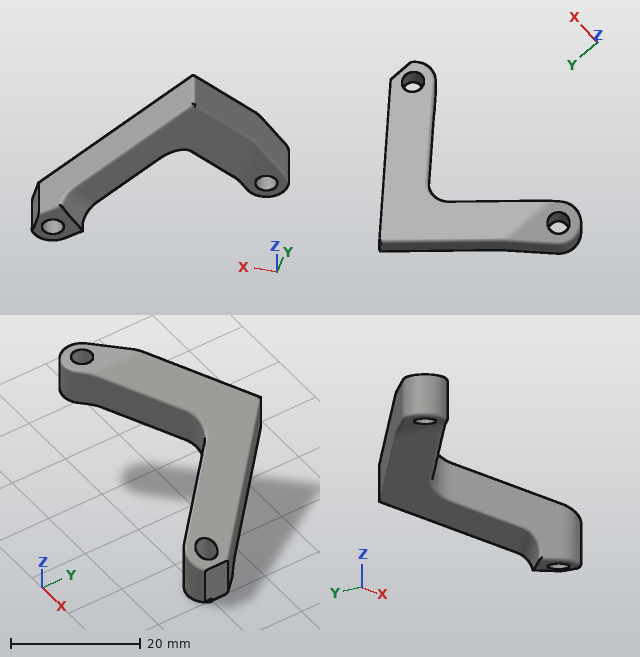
import cadquery as cq
import math

end_radius = 3.52
hole_radius = 1.7
hole_spacing = 34.0
left_hole = (end_radius, end_radius)
right_hole = (end_radius + hole_spacing, end_radius)
inner_corner_radius = 3.45
apex_radius = 0.5

total_height = 23.0
tab_height = 6.72
slope = math.radians(26)
top_bend_x = 7.2
bottom_bend_x = 7.57
bend_radius = 3.65
foot_corner = (32.55, 3.5)
foot_arc_radius = 3.65
foot_end_x = 40.35

edge_radius = 0.5
lip_height = 0.45
lip_drop = 0.97
lip_top_y = right_hole[1] - lip_drop
lip_end_x = 40.5
margin = 4.05
tolerance = 0.0005


def make_plan(apex_round):
    """V outline with round ends, extruded through the full height."""
    mid_x = (left_hole[0] + right_hole[0]) / 2
    mid_y = end_radius + hole_spacing / 2
    flank = end_radius / math.sqrt(2)
    rise = end_radius * math.sqrt(2)
    plan = (
        cq.Workplane("XY")
        .moveTo(left_hole[0] - flank, left_hole[1] + flank)
        .lineTo(mid_x, mid_y + rise)
        .lineTo(right_hole[0] + flank, right_hole[1] + flank)
        .threePointArc(
            (right_hole[0] + flank, right_hole[1] - flank),
            (right_hole[0] - flank, right_hole[1] - flank),
        )
        .lineTo(mid_x, mid_y - rise)
        .lineTo(left_hole[0] + flank, left_hole[1] - flank)
        .threePointArc(
            (left_hole[0] - flank, left_hole[1] - flank),
            (left_hole[0] - flank, left_hole[1] + flank),
        )
        .close()
        .extrude(total_height)
    )

    def corner(y):
        return cq.selectors.NearestToPointSelector((mid_x, y, total_height / 2))

    plan = plan.edges(corner(mid_y - rise)).fillet(inner_corner_radius)
    if apex_round:
        plan = plan.edges(corner(mid_y + rise)).fillet(apex_radius)
    return plan


def box_between(low, high):
    """Axis-aligned box given by two opposite corners."""
    sizes = [b - a for a, b in zip(low, high)]
    return cq.Workplane("XY").box(*sizes, centered=False).translate(low)


def foot_side():
    """Space beyond the foot wall, a vertical plane square to the right leg."""
    reach = 2 * total_height
    block = box_between((0, -reach, -reach), (reach, reach, reach))
    return block.rotate((0, 0, 0), (0, 0, 1), -45).translate((*foot_corner, 0))


def side_prism(points):
    """Side outline extruded along Y beyond the plan."""
    depth = total_height + 3 * margin
    outline = cq.Workplane("XZ", origin=(0, -margin, 0)).polyline(points).close()
    return outline.extrude(-depth)


def make_profile():
    """Body between the upper surface and the hollow under the arm."""
    far_x = lip_end_x + margin
    tab_bottom = total_height - tab_height
    far_top = total_height - (far_x - top_bend_x) * math.tan(slope)
    far_bottom = tab_bottom - (far_x - bottom_bend_x) * math.tan(slope)
    wall_top = tab_bottom - (foot_corner[0] - bottom_bend_x) * math.tan(slope)

    upper = side_prism(
        [
            (-margin, total_height),
            (top_bend_x, total_height),
            (far_x, far_top),
            (far_x, 0),
            (-margin, 0),
        ]
    )
    hollow = side_prism(
        [
            (-margin, tab_bottom),
            (bottom_bend_x, tab_bottom),
            (far_x, far_bottom),
            (far_x, -total_height),
            (-margin, -total_height),
        ]
    ).cut(foot_side())

    def near(x, y, z):
        return cq.selectors.NearestToPointSelector((x, y, z))

    middle_y = (total_height + margin) / 2
    upper = upper.edges(near(top_bend_x, middle_y, total_height)).fillet(bend_radius)
    hollow = hollow.edges(near(bottom_bend_x, middle_y, tab_bottom)).fillet(bend_radius)
    hollow = hollow.edges(near(*foot_corner, wall_top)).fillet(foot_arc_radius)
    return upper.cut(hollow)


def is_rim(edge, walls):
    """True for edges on the plan walls that border the side profile."""
    middle = edge.positionAt(0.5)
    box = edge.BoundingBox()
    upright = box.xlen < tolerance and box.ylen < tolerance
    wall_offset = (middle.x - foot_corner[0]) - (middle.y - foot_corner[1])
    on_foot_wall = abs(wall_offset) < tolerance
    on_plan_wall = cq.Vertex.makeVertex(*middle.toTuple()).distance(walls) < tolerance
    return on_plan_wall and (not upright or on_foot_wall)


def make_arm():
    """Cranked arm with rounded rims, ended flat at the foot."""
    plan = make_plan(apex_round=False)
    walls = cq.Compound.makeCompound(plan.faces("not |Z").vals())
    arm = plan.intersect(make_profile())
    rim = [edge for edge in arm.edges().vals() if is_rim(edge, walls)]
    arm = arm.newObject(rim).fillet(edge_radius)
    arm = arm.intersect(make_plan(apex_round=True))
    far = total_height + margin
    return arm.intersect(box_between((-margin, -margin, -margin), (foot_end_x, far, far)))


def make_lip():
    """Thin rounded rim along the lower flank of the foot, just past both foot walls."""
    plan = make_plan(apex_round=False)
    rounded = plan.faces("<Z").edges().fillet(edge_radius)
    band = box_between((0, 0, 0), (lip_end_x, lip_top_y, lip_height))
    return rounded.intersect(band).intersect(foot_side())


def make_holes():
    """Vertical through holes in the tab and the foot."""
    return (
        cq.Workplane("XY")
        .pushPoints([left_hole, right_hole])
        .circle(hole_radius)
        .extrude(total_height)
    )


result = make_arm().union(make_lip()).cut(make_holes())